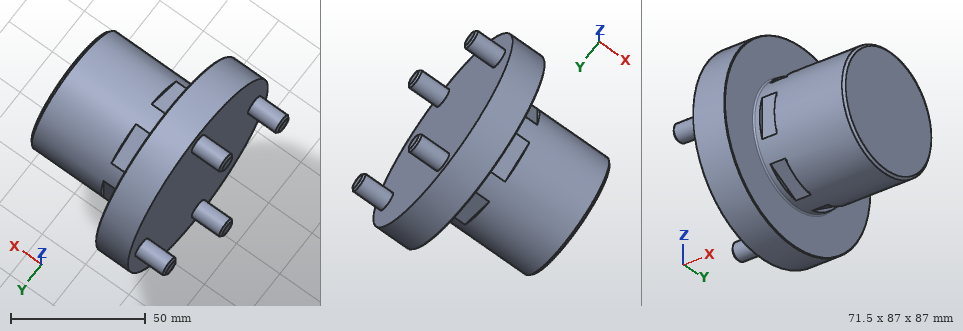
import cadquery as cq

flange_diameter = 87.0
flange_thickness = 15.0
flange_chamfer = 0.3

hub_diameter = 53.0
hub_length = 43.0
hub_end_chamfer = 1.0
hub_root_fillet = 0.6

flat_count = 6
across_flats = 50.0
flat_width = 7.0
flat_gap = 3.0

pin_count = 4
pin_diameter = 8.0
pin_tip_diameter = 6.37
pin_length = 13.5
pin_circle_diameter = 70.0

pin_chamfer = (pin_diameter - pin_tip_diameter) / 2


def make_flange():
    disc = cq.Workplane("YZ").circle(flange_diameter / 2).extrude(flange_thickness)
    return disc.faces(">X").edges().chamfer(flange_chamfer)


def make_hub():
    hub = cq.Workplane("YZ", origin=(flange_thickness, 0, 0)).circle(hub_diameter / 2).extrude(hub_length)
    return hub.faces(">X").edges().chamfer(hub_end_chamfer)


def make_root_disc():
    """Disc whose concave rim is the fillet between the flange and the hub."""
    hub_radius = hub_diameter / 2
    disc_end = flange_thickness + hub_root_fillet
    disc_radius = hub_radius + hub_root_fillet
    return (
        cq.Workplane("XY")
        .moveTo(flange_thickness, 0)
        .lineTo(flange_thickness, disc_radius)
        .radiusArc((disc_end, hub_radius), -hub_root_fillet)
        .lineTo(disc_end, 0)
        .close()
        .revolve(360, (0, 0, 0), (1, 0, 0))
    )


def make_pin(angle):
    pin = (
        cq.Workplane("YZ", origin=(0, pin_circle_diameter / 2, 0))
        .circle(pin_diameter / 2)
        .extrude(-pin_length)
        .faces("<X")
        .edges()
        .chamfer(pin_chamfer)
    )
    return pin.rotate((0, 0, 0), (1, 0, 0), angle)


def make_flat_cut(angle):
    """Block that removes the hub material outside one flat."""
    block = cq.Workplane("XY").box(flat_width, hub_diameter, hub_diameter, centered=(False, False, True))
    block = block.translate((flange_thickness + flat_gap, across_flats / 2, 0))
    return block.rotate((0, 0, 0), (1, 0, 0), angle)


result = make_flange().union(make_hub()).union(make_root_disc())
for i in range(pin_count):
    result = result.union(make_pin(i * 360 / pin_count))
for i in range(flat_count):
    result = result.cut(make_flat_cut(i * 360 / flat_count))